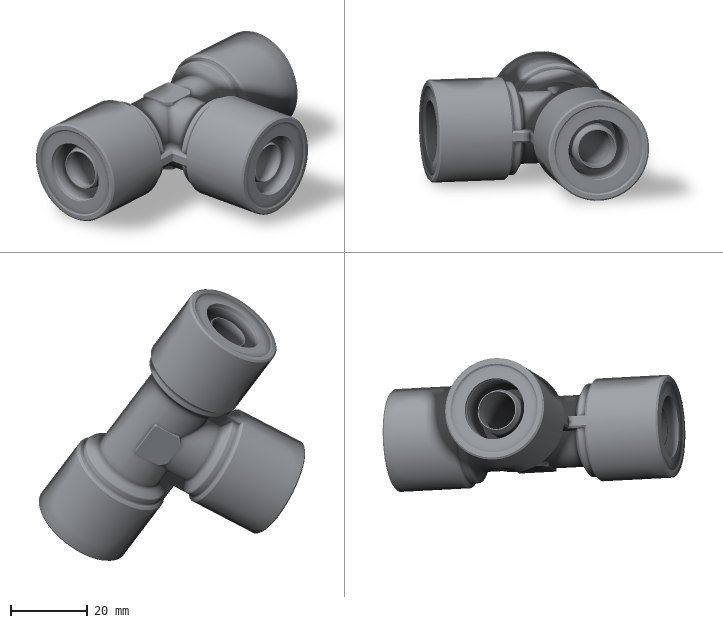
import cadquery as cq

ARM_REACH = 37.5
SOCKET_DIA = 27.0
BODY_DIA = 18.9
BORE_DIA = 10.0
EDGE_ROUND = 0.5

CONE_START = 13.7
COLLAR_START = 15.45
COLLAR_DIA = 24.6
SOCKET_START = 17.55
SOCKET_BACK_CHAMFER = 0.6
MOUTH_CHAMFER = 0.45

FACE_RECESS_OUTER_DIA = 23.85
FACE_RECESS_DIA = 23.0
FACE_RECESS_DEPTH = 0.4
TUBE_ENTRY_DIA = 16.2
TUBE_ENTRY_DEPTH = 1.8
TUBE_BORE_DIA = 15.9
TUBE_TAPER = 0.4
SOCKET_DEPTH = 16.5

STEM_TIP_DEPTH = 2.6
STEM_TIP_DIA = 10.4
STEM_TAPER = 2.25
STEM_DIA = 11.8
STEM_BASE_DIA = 12.5
STEM_BASE_HEIGHT = 0.75

WEB_THICKNESS = 3.2
WEB_EDGE_CHAMFER = 0.5

PAD_X_MIN = -3.9
PAD_X_MAX = 5.2
PAD_WIDTH = 10.2
PAD_HEIGHT = 9.75
PAD_CORNER_CHAMFER = 1.65

MATCH_TOLERANCE = 0.01

body_r = BODY_DIA / 2
collar_r = COLLAR_DIA / 2
socket_r = SOCKET_DIA / 2
socket_wall_start = SOCKET_START + SOCKET_BACK_CHAMFER
crossing_reach = CONE_START - 2 * EDGE_ROUND


def rings_at(solid, position):
    """Circular edges of a solid around Y that lie at one Y position."""
    return solid.edges("%CIRCLE").filter(lambda edge: abs(edge.Center().y - position) < MATCH_TOLERANCE)


def arm_outside():
    """One arm along +Y, solid, from the centre to the socket mouth."""
    points = [
        (0, 0),
        (body_r, 0),
        (body_r, CONE_START),
        (collar_r, COLLAR_START),
        (collar_r, SOCKET_START),
        (socket_r - SOCKET_BACK_CHAMFER, SOCKET_START),
        (socket_r, socket_wall_start),
        (socket_r, ARM_REACH - MOUTH_CHAMFER),
        (socket_r - MOUTH_CHAMFER, ARM_REACH),
        (0, ARM_REACH),
    ]
    arm = cq.Workplane("XY").polyline(points).close().revolve(360, (0, 0), (0, 1))
    for position in (CONE_START, COLLAR_START):
        arm = rings_at(arm, position).fillet(EDGE_ROUND)
    step_rings = rings_at(arm, SOCKET_START)
    step_root = step_rings.filter(lambda edge: edge.radius() < collar_r + MATCH_TOLERANCE)
    return step_root.fillet(EDGE_ROUND)


def arm_inside():
    """Everything hollow in one arm along +Y: face recess, tube socket around the stem, bore."""
    mouth_face = ARM_REACH - FACE_RECESS_DEPTH
    taper_start = ARM_REACH - TUBE_ENTRY_DEPTH + TUBE_TAPER
    stem_tip = ARM_REACH - STEM_TIP_DEPTH
    socket_floor = ARM_REACH - SOCKET_DEPTH
    points = [
        (0, 0),
        (BORE_DIA / 2, 0),
        (BORE_DIA / 2, stem_tip),
        (STEM_TIP_DIA / 2, stem_tip),
        (STEM_DIA / 2, stem_tip - STEM_TAPER),
        (STEM_DIA / 2, socket_floor + STEM_BASE_HEIGHT),
        (STEM_BASE_DIA / 2, socket_floor + STEM_BASE_HEIGHT),
        (STEM_BASE_DIA / 2, socket_floor),
        (TUBE_BORE_DIA / 2, socket_floor),
        (TUBE_BORE_DIA / 2, ARM_REACH - TUBE_ENTRY_DEPTH),
        (TUBE_ENTRY_DIA / 2, taper_start),
        (TUBE_ENTRY_DIA / 2, mouth_face),
        (FACE_RECESS_DIA / 2, mouth_face),
        (FACE_RECESS_OUTER_DIA / 2, ARM_REACH),
        (0, ARM_REACH),
    ]
    return cq.Workplane("XY").polyline(points).close().revolve(360, (0, 0), (0, 1))


def in_three_directions(arm):
    """Copies of an arm along +Y, -Y and +X, joined."""
    tee = arm
    for turn in (180, -90):
        tee = tee.union(arm.rotate((0, 0, 0), (0, 0, 1), turn))
    return tee


def crossing():
    """Plain cylinders of run and branch, with the corner between them rounded."""
    run = cq.Workplane("XZ").circle(body_r).extrude(crossing_reach, both=True)
    branch = cq.Workplane("YZ").circle(body_r).extrude(crossing_reach)
    seams = run.union(branch).edges("%ELLIPSE")
    return seams.fillet(EDGE_ROUND)


def web():
    """Flat plate flush with the sockets, its free edges chamfered."""
    run_plate = cq.Workplane("XY").box(socket_r, 2 * socket_wall_start, WEB_THICKNESS, (False, True, True))
    run_plate = run_plate.edges(">X and |Y").chamfer(WEB_EDGE_CHAMFER)
    branch_plate = cq.Workplane("XY").box(socket_wall_start, SOCKET_DIA, WEB_THICKNESS, (False, True, True))
    branch_plate = branch_plate.edges("|X").chamfer(WEB_EDGE_CHAMFER)
    return run_plate.union(branch_plate)


def pads():
    """Raised flats above and below the crossing, corners toward the branch cut back."""
    length = PAD_X_MAX - PAD_X_MIN
    block = cq.Workplane("XY").box(length, PAD_WIDTH, 2 * PAD_HEIGHT)
    block = block.translate(((PAD_X_MAX + PAD_X_MIN) / 2, 0, 0))
    block = block.edges("|Z and >X").chamfer(PAD_CORNER_CHAMFER)
    return block.edges("|Z").fillet(EDGE_ROUND)


outside = in_three_directions(arm_outside()).union(web())
outside = outside.union(crossing()).union(pads())
result = outside.cut(in_three_directions(arm_inside()))